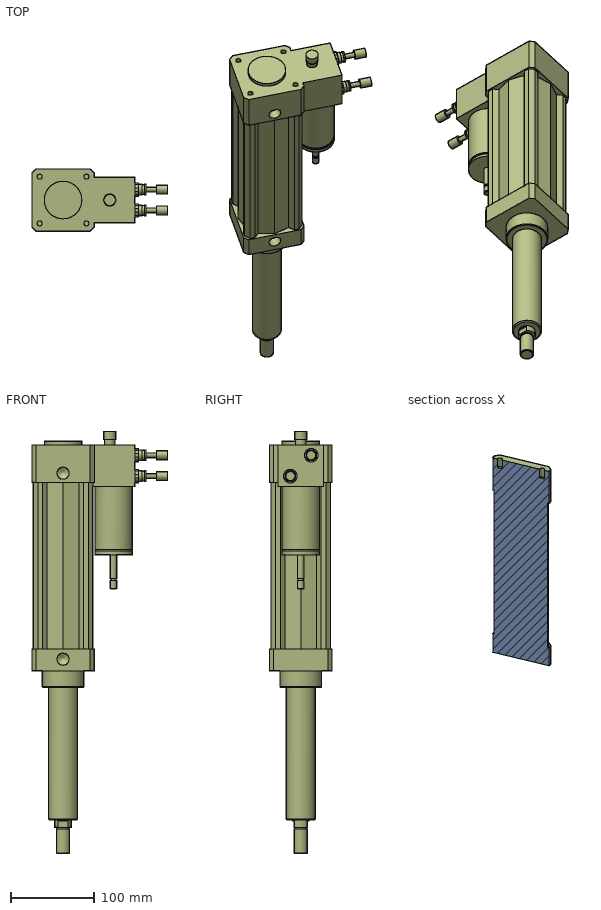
import cadquery as cq
import math

TOTAL_HEIGHT = 506.0
VENT_HEIGHT = 16.0
HEAD_BOTTOM = -45.0
SIDE_BLOCK_BOTTOM = -50.0
FLANGE_TOP = -245.0
FLANGE_BOTTOM = -271.0
NOSE_BOTTOM = -291.0
ROD_TUBE_BOTTOM = -450.0
ROD_END = VENT_HEIGHT - TOTAL_HEIGHT

HEAD_WIDTH = 75.0
HEAD_CHAMFER = 5.0
CAP_DISC_DIAMETER = 45.0
CAP_DISC_HEIGHT = 4.5
SCREW_HOLE_DIAMETER = 6.0
SCREW_HOLE_SPACING = 56.0
SCREW_HOLE_DEPTH = 12.0
PORT_DIAMETER = 14.5
PORT_DEPTH = 12.0
PORT_TIP_ANGLE = 118.0
HEAD_PORT_Z = -34.0
FLANGE_PORT_Z = FLANGE_TOP - 12.0

TUBE_WIDTH = 71.5
TUBE_CHAMFER = 5.5
PAD_INNER_EDGE = 24.5
PANEL_EDGE = 19.0
PANEL_DEPTH = 5.5

NOSE_DIAMETER = 50.0
NOSE_CHAMFER = 1.0

SIDE_BLOCK_END_X = 86.0
SIDE_BLOCK_WIDTH = 55.0
RESERVOIR_X = 60.5
RESERVOIR_DIAMETER = 45.0
RESERVOIR_BOTTOM = -132.0
RESERVOIR_GROOVE_TOP = -125.5
RESERVOIR_GROOVE_WIDTH = 2.0
RESERVOIR_GROOVE_DIAMETER = 44.0
PIN_DIAMETER = 8.0
PIN_BOTTOM = -173.0
PIN_CHAMFER = 1.0
PIN_GROOVE_TOP = -160.5
PIN_GROOVE_WIDTH = 2.0
PIN_GROOVE_DIAMETER = 6.0
VENT_X = 56.0
VENT_DIAMETER = 14.5
VENT_NECK_DIAMETER = 13.0
VENT_CAP_HEIGHT = 9.5

ROD_DIAMETER = 35.0
ROD_BORE_DEPTH = 20.0
ROD_CHAMFER = 1.5
SHANK_DIAMETER = 20.0
SHANK_FLATS = 16.0
SHANK_BOTTOM = -458.5
FLATS_TOP = ROD_TUBE_BOTTOM - 1.0
NECK_DIAMETER = 14.0
NECK_LENGTH = 2.0
THREAD_DIAMETER = 16.0
THREAD_CHAMFER = 1.0

FITTING_OFFSET = 12.5
NUT_FACETS = 12
NUT_DIAMETER = 16.5
NUT_LENGTH = 4.5
COLLAR_DIAMETER = 13.0
COLLAR_LENGTH = 4.0
COLLAR_GROOVE_DIAMETER = 12.0
COLLAR_GROOVE_LENGTH = 3.0
RING_DIAMETER = 13.0
RING_LENGTH = 2.0
STEM_DIAMETER = 6.0
STEM_LENGTH = 12.5
TIP_DIAMETER = 11.0
TIP_LENGTH = 13.5


def rod_between(x, diameter, z_low, z_high):
    """Upright round bar at (x, 0) between two heights."""
    bar = cq.Workplane("XY", origin=(x, 0, z_low))
    return bar.circle(diameter / 2).extrude(z_high - z_low)


def chamfered_square(width, chamfer, z_low, z_high):
    block = cq.Workplane("XY", origin=(0, 0, z_low)).rect(width, width)
    return block.extrude(z_high - z_low).edges("|Z").chamfer(chamfer)


def ribbed_tube():
    """Square tube whose sides are recessed between corner pads, each with a low middle ridge."""
    half = TUBE_WIDTH / 2
    tube = chamfered_square(TUBE_WIDTH, TUBE_CHAMFER, FLANGE_TOP, HEAD_BOTTOM)
    floor = -half + PANEL_DEPTH
    recesses = (
        cq.Workplane("XY", origin=(0, 0, FLANGE_TOP))
        .polyline([(-PAD_INNER_EDGE, -half), (0, -half), (-PANEL_EDGE, floor)]).close()
        .polyline([(PAD_INNER_EDGE, -half), (PANEL_EDGE, floor), (0, -half)]).close()
        .extrude(HEAD_BOTTOM - FLANGE_TOP)
    )
    for side in range(4):
        tube = tube.cut(recesses.rotate((0, 0, 0), (0, 0, 1), 90 * side))
    return tube


def port(z):
    """Drilled blind hole with a conical bottom, entering the -Y face."""
    radius = PORT_DIAMETER / 2
    face_y = -HEAD_WIDTH / 2
    full_depth_y = face_y + PORT_DEPTH
    tip_y = full_depth_y + radius / math.tan(math.radians(PORT_TIP_ANGLE / 2))
    profile = [(0, face_y), (radius, face_y), (radius, full_depth_y), (0, tip_y)]
    return (
        cq.Workplane("XY", origin=(0, 0, z)).polyline(profile).close()
        .revolve(360, (0, 0, 0), (0, 1, 0))
    )


def side_block():
    """Block beside the head, with the reservoir below it and the vent on top."""
    start_x = TUBE_WIDTH / 2
    block = cq.Workplane("XY").box(
        SIDE_BLOCK_END_X - start_x, SIDE_BLOCK_WIDTH, -SIDE_BLOCK_BOTTOM, centered=(False, True, False)
    ).translate((start_x, 0, SIDE_BLOCK_BOTTOM))

    reservoir_groove_bottom = RESERVOIR_GROOVE_TOP - RESERVOIR_GROOVE_WIDTH
    pin_groove_bottom = PIN_GROOVE_TOP - PIN_GROOVE_WIDTH
    vent_cap_bottom = VENT_HEIGHT - VENT_CAP_HEIGHT
    pin_end = rod_between(RESERVOIR_X, PIN_DIAMETER, PIN_BOTTOM, pin_groove_bottom)
    parts = [
        rod_between(RESERVOIR_X, RESERVOIR_DIAMETER, RESERVOIR_GROOVE_TOP, SIDE_BLOCK_BOTTOM),
        rod_between(RESERVOIR_X, RESERVOIR_GROOVE_DIAMETER, reservoir_groove_bottom, RESERVOIR_GROOVE_TOP),
        rod_between(RESERVOIR_X, RESERVOIR_DIAMETER, RESERVOIR_BOTTOM, reservoir_groove_bottom),
        rod_between(RESERVOIR_X, PIN_DIAMETER, PIN_GROOVE_TOP, RESERVOIR_BOTTOM),
        rod_between(RESERVOIR_X, PIN_GROOVE_DIAMETER, pin_groove_bottom, PIN_GROOVE_TOP),
        pin_end.faces("<Z").chamfer(PIN_CHAMFER),
        rod_between(VENT_X, VENT_NECK_DIAMETER, 0, vent_cap_bottom),
        rod_between(VENT_X, VENT_DIAMETER, vent_cap_bottom, VENT_HEIGHT),
    ]
    for piece in parts:
        block = block.union(piece)
    return block


def make_housing():
    head = chamfered_square(HEAD_WIDTH, HEAD_CHAMFER, HEAD_BOTTOM, 0)
    flange = chamfered_square(HEAD_WIDTH, HEAD_CHAMFER, FLANGE_BOTTOM, FLANGE_TOP)
    nose = rod_between(0, NOSE_DIAMETER, NOSE_BOTTOM, FLANGE_BOTTOM).faces("<Z").chamfer(NOSE_CHAMFER)
    cap_disc = rod_between(0, CAP_DISC_DIAMETER, 0, CAP_DISC_HEIGHT)
    body = head.union(ribbed_tube()).union(flange).union(nose).union(cap_disc).union(side_block())

    screw_holes = (
        cq.Workplane("XY").rect(SCREW_HOLE_SPACING, SCREW_HOLE_SPACING, forConstruction=True)
        .vertices().circle(SCREW_HOLE_DIAMETER / 2).extrude(-SCREW_HOLE_DEPTH)
    )
    rod_bore = rod_between(0, ROD_DIAMETER, NOSE_BOTTOM, NOSE_BOTTOM + ROD_BORE_DEPTH)
    return body.cut(screw_holes).cut(port(HEAD_PORT_Z)).cut(port(FLANGE_PORT_Z)).cut(rod_bore)


def make_piston_rod():
    tube = rod_between(0, ROD_DIAMETER, ROD_TUBE_BOTTOM, NOSE_BOTTOM + ROD_BORE_DEPTH)
    tube = tube.faces("<Z").chamfer(ROD_CHAMFER)
    shank = rod_between(0, SHANK_DIAMETER, SHANK_BOTTOM, ROD_TUBE_BOTTOM)
    flats_band = cq.Workplane("XY", origin=(0, 0, SHANK_BOTTOM)).rect(SHANK_DIAMETER, SHANK_FLATS)
    flats_band = flats_band.extrude(FLATS_TOP - SHANK_BOTTOM)
    shank_root = rod_between(0, SHANK_DIAMETER, FLATS_TOP, ROD_TUBE_BOTTOM)
    shank = shank.intersect(flats_band.union(shank_root))
    thread_top = SHANK_BOTTOM - NECK_LENGTH
    neck = rod_between(0, NECK_DIAMETER, thread_top, SHANK_BOTTOM)
    thread = rod_between(0, THREAD_DIAMETER, ROD_END, thread_top).faces("<Z").chamfer(THREAD_CHAMFER)
    return tube.union(shank).union(neck).union(thread)


def make_fitting(y, z):
    """Faceted nut, grooved collar, thin stem and tip, standing on the +X face of the side block."""
    fitting = cq.Workplane("YZ", origin=(SIDE_BLOCK_END_X, y, z))
    half_facet_angle = 180 / NUT_FACETS
    fitting = fitting.transformed(rotate=(0, 0, half_facet_angle))
    fitting = fitting.polygon(NUT_FACETS, NUT_DIAMETER).extrude(NUT_LENGTH)
    steps = [
        (COLLAR_DIAMETER, COLLAR_LENGTH),
        (COLLAR_GROOVE_DIAMETER, COLLAR_GROOVE_LENGTH),
        (RING_DIAMETER, RING_LENGTH),
        (STEM_DIAMETER, STEM_LENGTH),
        (TIP_DIAMETER, TIP_LENGTH),
    ]
    for diameter, length in steps:
        fitting = fitting.faces(">X").workplane(centerOption="CenterOfBoundBox")
        fitting = fitting.circle(diameter / 2).extrude(length)
    return fitting


housing = make_housing()
piston_rod = make_piston_rod()

fitting_middle_z = SIDE_BLOCK_BOTTOM / 2
fittings = []
for offset in (FITTING_OFFSET, -FITTING_OFFSET):
    fittings.append(make_fitting(offset, fitting_middle_z + offset))

result = cq.Compound.makeCompound(
    [housing.val(), piston_rod.val()] + [fitting.val() for fitting in fittings]
)